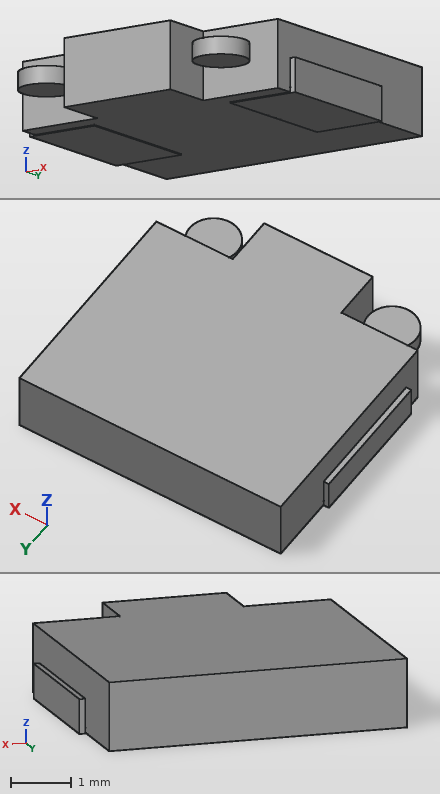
import cadquery as cq

overall_width = 5.4
overall_depth = 5.1
overall_height = 1.2

standoff = 0.015
tongue_width = 2.16
tongue_depth = 0.95
housing_depth = overall_depth - tongue_depth
housing_height = overall_height - standoff

sheet_thickness = 0.1
terminal_length = 2.495
terminal_height = 0.6
foot_length = 1.32
terminal_setback = 0.35
housing_width = overall_width - 2 * sheet_thickness

disc_diameter = tongue_depth
disc_thickness = 0.3
disc_bottom = 0.5
disc_spacing = 3.55

SIDES = (-1, 1)


def block(width, depth, height, front, bottom):
    """Box centred on X, with its front face and underside placed."""
    return (
        cq.Workplane("XY")
        .box(width, depth, height, centered=(True, False, False))
        .translate((0, front, bottom))
    )


def make_terminal(side):
    """L-shaped terminal: a wall outside the housing and a foot under it."""
    outer = side * overall_width / 2
    wall_inner = outer - side * sheet_thickness
    foot_end = outer - side * foot_length
    profile = [
        (outer, 0),
        (outer, terminal_height),
        (wall_inner, terminal_height),
        (wall_inner, sheet_thickness),
        (foot_end, sheet_thickness),
        (foot_end, 0),
    ]
    return (
        cq.Workplane("XZ")
        .polyline(profile)
        .close()
        .extrude(-terminal_length)
        .translate((0, tongue_depth + terminal_setback, 0))
    )


def make_housing(terminals):
    """Housing and tongue, with recesses that fit the terminal feet."""
    body = block(housing_width, housing_depth, housing_height, tongue_depth, standoff)
    tongue = block(tongue_width, tongue_depth, housing_height, 0, standoff)
    body = body.union(tongue)
    for terminal in terminals:
        body = body.cut(terminal)
    return body.solids()


def make_disc(side):
    """Flat round disc on one side of the tongue."""
    return (
        cq.Workplane("XY")
        .circle(disc_diameter / 2)
        .extrude(disc_thickness)
        .translate((side * disc_spacing / 2, disc_diameter / 2, disc_bottom))
    )


terminals = [make_terminal(side) for side in SIDES]
discs = [make_disc(side) for side in SIDES]
housing = make_housing(terminals)

result = cq.Compound.makeCompound(
    [
        housing.val(),
        *[terminal.val() for terminal in terminals],
        *[disc.val() for disc in discs],
    ]
)